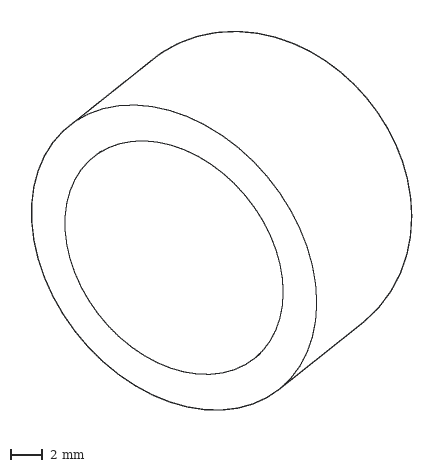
import cadquery as cq
import math

outer_diameter = 21.3
bore_diameter = 16.3
total_length = 15.55
inner_crown_radius = 21.3
inner_knuckle_radius = 2.13

outer_radius = outer_diameter / 2
bore_radius = bore_diameter / 2
wall = outer_radius - bore_radius
outer_crown_radius = inner_crown_radius + wall
outer_knuckle_radius = inner_knuckle_radius + wall

knuckle_center_radius = bore_radius - inner_knuckle_radius
center_distance = inner_crown_radius - inner_knuckle_radius
tangent_angle = math.asin(knuckle_center_radius / center_distance)

open_end = -total_length / 2
dome_tip = total_length / 2
crown_center = dome_tip - outer_crown_radius
knuckle_base = crown_center + center_distance * math.cos(tangent_angle)


def arc_point(center_radius, center_y, arc_radius, angle):
    """Point (radius, y) on an arc, with the angle measured from the Y axis."""
    return (
        center_radius + arc_radius * math.sin(angle),
        center_y + arc_radius * math.cos(angle),
    )


def domed_solid(cylinder_radius, crown_radius, knuckle_radius):
    """Cylinder closed by a torispherical dome, revolved about the Y axis."""
    knuckle_mid_angle = (tangent_angle + math.pi / 2) / 2
    knuckle_mid = arc_point(knuckle_center_radius, knuckle_base, knuckle_radius, knuckle_mid_angle)
    tangent_point = arc_point(0, crown_center, crown_radius, tangent_angle)
    crown_mid = arc_point(0, crown_center, crown_radius, tangent_angle / 2)
    tip = arc_point(0, crown_center, crown_radius, 0)
    return (
        cq.Workplane("XY")
        .moveTo(0, open_end)
        .lineTo(cylinder_radius, open_end)
        .lineTo(cylinder_radius, knuckle_base)
        .threePointArc(knuckle_mid, tangent_point)
        .threePointArc(crown_mid, tip)
        .close()
        .revolve(360, (0, 0, 0), (0, 1, 0))
    )


outer_body = domed_solid(outer_radius, outer_crown_radius, outer_knuckle_radius)
cavity = domed_solid(bore_radius, inner_crown_radius, inner_knuckle_radius)
result = outer_body.cut(cavity)